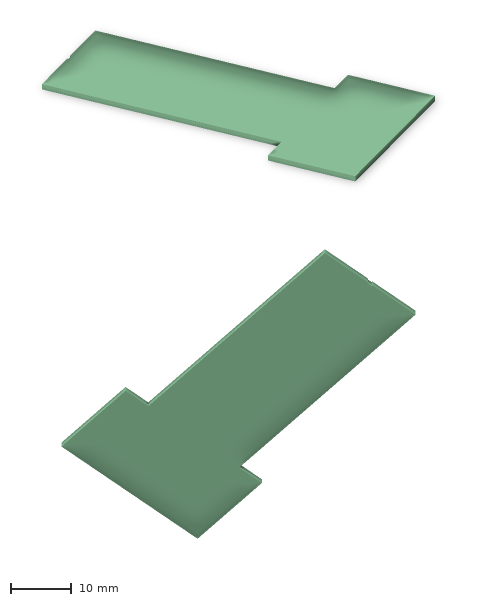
import cadquery as cq

length = 60.0
thickness = 1.0

head_length = 16.0
head_width = 30.0
blade_width = 20.0
blade_length = length - head_length

notch_width = 1.0
notch_depth = 0.2


def plate_section(x_start, section_length, width):
    """Full-thickness rectangle starting at x_start, centred on the X axis."""
    section = cq.Workplane("XY").box(section_length, width, thickness, centered=(False, True, False))
    return section.translate((x_start, 0, 0))


blade = plate_section(0, blade_length, blade_width)
head = plate_section(blade_length, head_length, head_width)
notch = plate_section(0, notch_depth, notch_width)

result = blade.union(head).cut(notch)